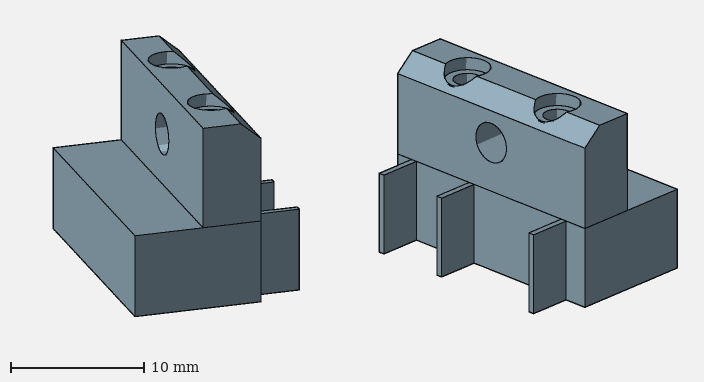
import cadquery as cq

length = 19.6
base_depth = 10.0
total_depth = 13.5
total_height = 14.5
base_height = 6.5

block_depth = 4.6
block_height = total_height - base_height
block_front_y = base_depth - block_depth
chamfer_depth = 1.6
chamfer_height = 1.37

screw_spacing = 9.4
screw_y = base_depth - block_depth / 2
screw_diameter = 2.2
counterbore_diameter = 3.5
counterbore_depth = 1.0
screw_points = [(-screw_spacing / 2, screw_y), (screw_spacing / 2, screw_y)]

cross_diameter = 3.2
cross_z = total_height - 4.0

blade_thickness = 0.5
blade_length = total_depth - base_depth
blade_x_positions = [-7.59, 2.04, 8.08]


def vertical_cylinders(diameter, bottom_z, height):
    """Cylinders on the two screw axes, used as cutters."""
    return (
        cq.Workplane("XY", origin=(0, 0, bottom_z))
        .pushPoints(screw_points)
        .circle(diameter / 2)
        .extrude(height)
    )


def make_base():
    """Rectangular base with its terminal blades and screw holes."""
    body = cq.Workplane("XY").box(length, base_depth, base_height, centered=(True, False, False))
    for blade_x in blade_x_positions:
        blade = (
            cq.Workplane("XY", origin=(blade_x, base_depth, 0))
            .box(blade_thickness, blade_length, base_height, centered=(True, False, False))
        )
        body = body.union(blade)
    return body.cut(vertical_cylinders(screw_diameter, 0, base_height))


def make_upper_block():
    """Upright block with a chamfered top back edge, screw holes and a cross hole."""
    profile = [
        (block_front_y, base_height),
        (base_depth, base_height),
        (base_depth, total_height - chamfer_height),
        (base_depth - chamfer_depth, total_height),
        (block_front_y, total_height),
    ]
    block = cq.Workplane("YZ").polyline(profile).close().extrude(length / 2, both=True)
    block = block.cut(vertical_cylinders(screw_diameter, base_height, block_height))
    counterbore_floor_z = total_height - counterbore_depth
    block = block.cut(vertical_cylinders(counterbore_diameter, counterbore_floor_z, counterbore_depth))
    cross_hole = (
        cq.Workplane("XZ", origin=(0, block_front_y, cross_z))
        .circle(cross_diameter / 2)
        .extrude(-block_depth)
    )
    return block.cut(cross_hole)


base = make_base()
upper_block = make_upper_block()

result = cq.Compound.makeCompound([base.val(), upper_block.val()])